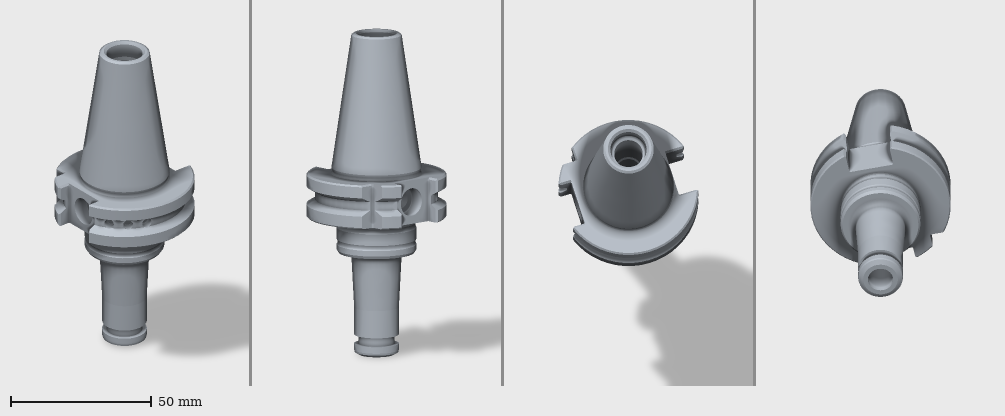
import cadquery as cq
import math


total_height = 116.6
flange_top = 65.9
flange_bottom = 50.0
collar_bottom = 37.1
groove_center_z = 58.0

taper_ratio = 7 / 24
taper_base_z = 68.0
taper_base_radius = 16.1
taper_top_radius = taper_base_radius - (total_height - taper_base_z) * taper_ratio / 2
taper_top_chamfer_width = 0.8
taper_top_chamfer_height = 0.6
relief_radius = 15.7
relief_z = 67.0
relief_foot_radius = 16.3
relief_middle = (15.9, 66.3)

flange_radius = 50.0 / 2
flange_top_chamfer = 0.6
flange_bottom_chamfer = 0.5
groove_floor_radius = 44.0 / 2
groove_floor_width = 3.1
groove_flank_angle = 30

slot_width = 16.0
slot_edge_chamfer = 0.7
slot_floor_fillet = 0.5
front_slot_floor = 18.9
back_slot_floor = 16.3
notch_wall = 14.9
notch_fillet = 0.6
notch_top_chamfer = 0.6

collar_radius = 14.2
ring_groove_depth = 0.3
ring_grooves = [(40.1, 42), (46.2, 48.1), (49.1, flange_bottom)]
collar_chamfer_width = 0.7
collar_chamfer_height = 1.0

nose_radius = 16.0 / 2
nose_cone_top_radius = 17.8 / 2
nose_cone_bottom_z = 17.1
nose_root_fillet = 2.0
neck_radius = 13.0 / 2
neck_top = 7.2
neck_bottom = 4.0
head_edge_z = 1.6
head_cone_top = (7.8, 0.9)
head_tip_radius = 6.2

mouth_radius = 7.3
pilot_radius = 13.0 / 2
thread_radius = 10.1 / 2
bore_radius = 9.0 / 2
pilot_floor_z = 110.8
thread_bottom_z = 87.5
drill_tip_angle = 118

side_hole_diameter = 10.0
side_hole_depth = 5.5
side_hole_floor_fillet = 0.3
side_drill_diameter = 6.0
groove_hole_diameter = 3.5
groove_hole_depth = 3.5
groove_hole_angles = [-18, -36, -54]


def make_body():
    """Revolve the outer profile, drawn upward from the nose tip."""
    groove_half_floor = groove_floor_width / 2
    groove_depth = flange_radius - groove_floor_radius
    groove_half_mouth = groove_half_floor + groove_depth * math.tan(math.radians(groove_flank_angle))
    root_z = collar_bottom - nose_root_fillet
    root_center_radius = nose_cone_top_radius + nose_root_fillet
    arc_offset = nose_root_fillet * math.sqrt(0.5)

    profile = (
        cq.Workplane("XZ")
        .lineTo(head_tip_radius, 0)
        .lineTo(*head_cone_top)
        .lineTo(nose_radius, head_edge_z)
        .lineTo(nose_radius, neck_bottom)
        .lineTo(neck_radius, neck_bottom)
        .lineTo(neck_radius, neck_top)
        .lineTo(nose_radius, neck_top)
        .lineTo(nose_radius, nose_cone_bottom_z)
        .lineTo(nose_cone_top_radius, root_z)
        .threePointArc(
            (root_center_radius - arc_offset, root_z + arc_offset),
            (root_center_radius, collar_bottom),
        )
        .lineTo(collar_radius - collar_chamfer_width, collar_bottom)
        .lineTo(collar_radius, collar_bottom + collar_chamfer_height)
    )
    for lower, upper in ring_grooves:
        profile = profile.lineTo(collar_radius, lower).threePointArc(
            (collar_radius - ring_groove_depth, (lower + upper) / 2), (collar_radius, upper)
        )
    profile = (
        profile.lineTo(flange_radius - flange_bottom_chamfer, flange_bottom)
        .lineTo(flange_radius, flange_bottom + flange_bottom_chamfer)
        .lineTo(flange_radius, groove_center_z - groove_half_mouth)
        .lineTo(groove_floor_radius, groove_center_z - groove_half_floor)
        .lineTo(groove_floor_radius, groove_center_z + groove_half_floor)
        .lineTo(flange_radius, groove_center_z + groove_half_mouth)
        .lineTo(flange_radius, flange_top - flange_top_chamfer)
        .lineTo(flange_radius - flange_top_chamfer, flange_top)
        .lineTo(relief_foot_radius, flange_top)
        .threePointArc(relief_middle, (relief_radius, relief_z))
        .lineTo(taper_base_radius, taper_base_z)
        .lineTo(taper_top_radius, total_height - taper_top_chamfer_height)
        .lineTo(taper_top_radius - taper_top_chamfer_width, total_height)
        .lineTo(0, total_height)
        .close()
    )
    return profile.revolve(360, (0, 0, 0), (0, 1, 0))


def make_bore():
    """Through bore with a thread section, a pilot and a countersunk mouth."""
    mouth_depth = mouth_radius - pilot_radius
    drill_tip_slope = math.tan(math.radians(drill_tip_angle / 2))
    pilot_cone_depth = (pilot_radius - thread_radius) / drill_tip_slope
    thread_cone_depth = thread_radius - bore_radius
    return (
        cq.Workplane("XZ")
        .lineTo(bore_radius, 0)
        .lineTo(bore_radius, thread_bottom_z - thread_cone_depth)
        .lineTo(thread_radius, thread_bottom_z)
        .lineTo(thread_radius, pilot_floor_z - pilot_cone_depth)
        .lineTo(pilot_radius, pilot_floor_z)
        .lineTo(pilot_radius, total_height - mouth_depth)
        .lineTo(mouth_radius, total_height)
        .lineTo(0, total_height)
        .close()
        .revolve(360, (0, 0, 0), (0, 1, 0))
    )


def make_slot(floor_distance):
    """Drive slot open toward -Y, with beveled wall edges at the top and at the rim."""
    half_width = slot_width / 2
    outer_half_width = half_width + slot_edge_chamfer
    rim_y = math.sqrt(flange_radius**2 - outer_half_width**2)
    overshoot = flange_radius - rim_y
    slot = (
        cq.Workplane("XY", origin=(0, 0, flange_bottom))
        .moveTo(-half_width, -floor_distance)
        .lineTo(half_width, -floor_distance)
        .lineTo(half_width, slot_edge_chamfer - rim_y)
        .lineTo(outer_half_width + overshoot, -flange_radius)
        .lineTo(-outer_half_width - overshoot, -flange_radius)
        .lineTo(-half_width, slot_edge_chamfer - rim_y)
        .close()
        .extrude(flange_top - flange_bottom)
        .edges("|Z and >Y")
        .fillet(slot_floor_fillet)
    )
    top_bevel = (
        cq.Workplane("XZ", origin=(0, -floor_distance, 0))
        .moveTo(-half_width, flange_top - slot_edge_chamfer)
        .lineTo(half_width, flange_top - slot_edge_chamfer)
        .lineTo(outer_half_width, flange_top)
        .lineTo(-outer_half_width, flange_top)
        .close()
        .extrude(flange_radius - floor_distance)
    )
    return slot.union(top_bevel)


def make_notch():
    """Corner notch on the -X, -Y side, with a bevel along the top of its back wall."""
    size = flange_radius - notch_wall
    notch = (
        cq.Workplane("XY", origin=(-notch_wall, -notch_wall, flange_bottom))
        .rect(-size, -size, centered=False)
        .extrude(flange_top - flange_bottom)
        .edges("|Z and >X and >Y")
        .fillet(notch_fillet)
    )
    bevel = (
        cq.Workplane("YZ", origin=(-notch_wall, -notch_wall, flange_top))
        .lineTo(notch_top_chamfer, 0)
        .lineTo(0, -notch_top_chamfer)
        .close()
        .extrude(-size)
    )
    return notch.union(bevel)


def make_side_hole():
    """Flat-floored hole in the front slot with a conical drill tip in its floor."""
    tip_depth = side_drill_diameter / 2 / math.tan(math.radians(drill_tip_angle / 2))
    floor_y = side_hole_depth - front_slot_floor
    hole = (
        cq.Workplane("XZ", origin=(0, -front_slot_floor, groove_center_z))
        .circle(side_hole_diameter / 2)
        .extrude(-side_hole_depth)
        .faces(">Y")
        .edges()
        .fillet(side_hole_floor_fillet)
    )
    tip = cq.Solid.makeCone(
        side_drill_diameter / 2,
        0,
        tip_depth,
        cq.Vector(0, floor_y, groove_center_z),
        cq.Vector(0, 1, 0),
    )
    return hole.union(cq.Workplane(tip))


def make_groove_hole(angle):
    """Blind radial hole in the gripper groove floor."""
    outward = cq.Vector(math.cos(math.radians(angle)), math.sin(math.radians(angle)), 0)
    bottom = outward * (groove_floor_radius - groove_hole_depth) + cq.Vector(0, 0, groove_center_z)
    length = flange_radius - groove_floor_radius + groove_hole_depth
    return cq.Solid.makeCylinder(groove_hole_diameter / 2, length, bottom, outward)


result = make_body().cut(make_bore())
result = result.cut(make_slot(front_slot_floor))
result = result.cut(make_slot(back_slot_floor).rotate((0, 0, 0), (0, 0, 1), 180))
result = result.cut(make_notch())
result = result.cut(make_side_hole())
for hole_angle in groove_hole_angles:
    result = result.cut(cq.Workplane(make_groove_hole(hole_angle)))